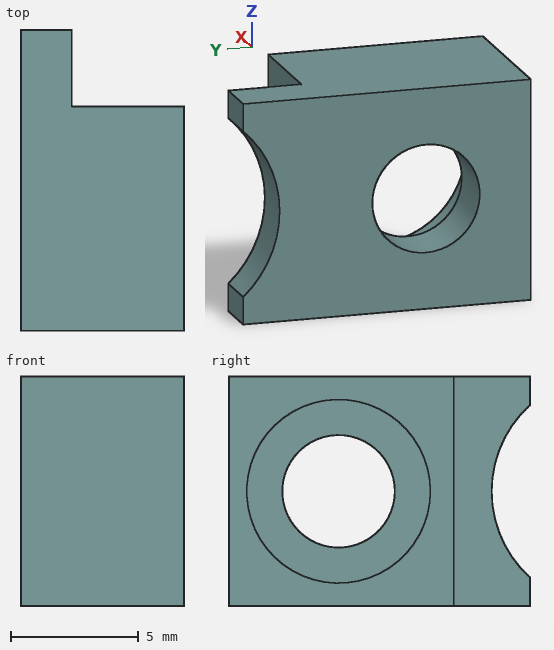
import cadquery as cq

width = 6.4
length = 11.8
height = 9.0

tab_thickness = 2.0
tab_length = 3.0

hole_diameter = 4.4
hole_from_front = 4.3

counterbore_diameter = 7.2
seat_thickness = 2.4

scallop_depth = 1.5
scallop_radius = 4.55


def cylinder_along_x(y, radius):
    """Cutting cylinder at mid-height, spanning the full width."""
    return cq.Workplane("YZ").center(y, height / 2).circle(radius).extrude(width)


body = (
    cq.Workplane("XY")
    .moveTo(0, 0)
    .lineTo(width, 0)
    .lineTo(width, length - tab_length)
    .lineTo(tab_thickness, length - tab_length)
    .lineTo(tab_thickness, length)
    .lineTo(0, length)
    .close()
    .extrude(height)
)

through_hole = cylinder_along_x(hole_from_front, hole_diameter / 2)
counterbore = cylinder_along_x(hole_from_front, counterbore_diameter / 2).translate((seat_thickness, 0, 0))
scallop = cylinder_along_x(length - scallop_depth + scallop_radius, scallop_radius)

result = body.cut(through_hole).cut(counterbore).cut(scallop)